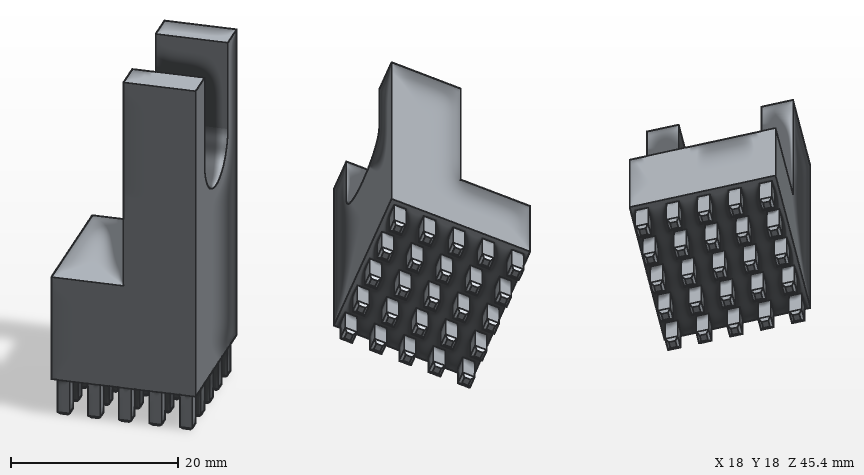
import cadquery as cq

total_height = 45.4
body_width = 18.0

pin_length = 4.9
base_height = 13.55
wall_thickness = body_width / 2

slot_width = 10.15
slot_depth = 16.53

pin_count = 5
pin_pitch = 3.8
pin_width = 1.55
pin_tip_chamfer = 0.35


def make_body():
    """Low base block with a full-width wall rising along its +X half."""
    half_width = body_width / 2
    wall_face_x = half_width - wall_thickness
    base_top_z = pin_length + base_height
    return (
        cq.Workplane("XZ")
        .moveTo(-half_width, pin_length)
        .lineTo(half_width, pin_length)
        .lineTo(half_width, total_height)
        .lineTo(wall_face_x, total_height)
        .lineTo(wall_face_x, base_top_z)
        .lineTo(-half_width, base_top_z)
        .close()
        .extrude(half_width, both=True)
    )


def make_slot():
    """Cutter for the U-shaped slot, running along X through the wall."""
    radius = slot_width / 2
    arc_center_z = total_height - slot_depth + radius
    return (
        cq.Workplane("YZ")
        .moveTo(-radius, total_height)
        .lineTo(-radius, arc_center_z)
        .threePointArc((0, total_height - slot_depth), (radius, arc_center_z))
        .lineTo(radius, total_height)
        .close()
        .extrude(body_width / 2, both=True)
    )


def make_pins():
    """Square grid of pins with chamfered tips."""
    return (
        cq.Workplane("XY")
        .rarray(pin_pitch, pin_pitch, pin_count, pin_count)
        .rect(pin_width, pin_width)
        .extrude(pin_length)
        .faces("<Z")
        .edges()
        .chamfer(pin_tip_chamfer)
    )


result = make_body().cut(make_slot()).union(make_pins())